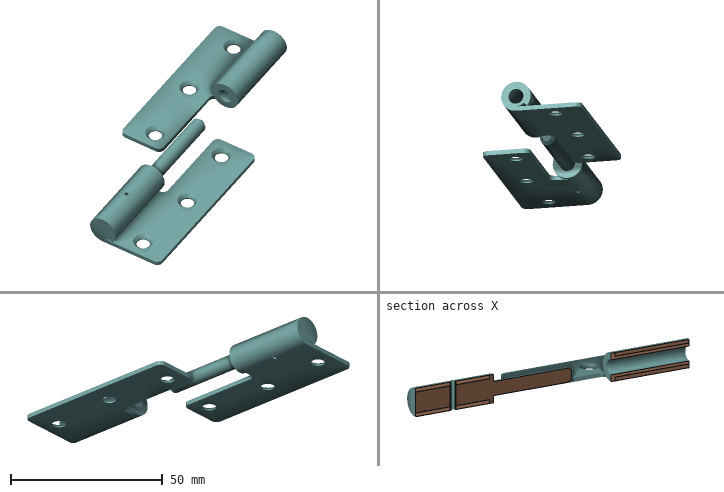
import cadquery as cq
import math

overall_length = 105.0
overall_width = 44.0
leaf_length = 60.0
knuckle_length = 30.0
knuckle_diameter = 10.0
sheet_thickness = 1.5
curl_end_angle = 43.0

notch_edge_x = 6.0
corner_radius = 2.0
notch_fillet = 2.0

screw_hole_diameter = 4.5
screw_head_diameter = 6.7
countersink_angle = 90.0
end_hole_x = 12.0
middle_hole_x = 14.0
end_hole_margin = 6.0

collar_thickness = 1.4
pin_diameter = 5.0
pin_tip_chamfer = 1.0

spring_pin_diameter = 2.2
spring_pin_bore = 1.4
spring_pin_margin = 14.5

knuckle_radius = knuckle_diameter / 2
core_radius = knuckle_radius - sheet_thickness
leaf_edge_x = overall_width / 2
outer_y = -overall_length / 2
inner_y = outer_y + leaf_length
collar_end_y = outer_y + knuckle_length
shoulder_y = collar_end_y - collar_thickness
wrap_length = shoulder_y - outer_y
sheet_bottom_z = -knuckle_radius
sheet_top_z = sheet_bottom_z + sheet_thickness
spring_pin_y = outer_y + spring_pin_margin


def cylinder_along_y(radius, start_y, end_y):
    """Cylinder on the hinge axis between two Y positions."""
    return cq.Workplane("XZ", origin=(0, start_y, 0)).circle(radius).extrude(start_y - end_y)


def cylinder_along_z(diameter):
    """Cylinder across the knuckle at the spring pin position."""
    base = cq.Workplane("XY", origin=(0, spring_pin_y, sheet_bottom_z))
    return base.circle(diameter / 2).extrude(knuckle_diameter)


def make_plate():
    """Flat sheet with a notch beside the pin and rounded corners."""
    plate = (
        cq.Workplane("XY", origin=(0, 0, sheet_bottom_z))
        .moveTo(0, outer_y)
        .lineTo(leaf_edge_x, outer_y)
        .lineTo(leaf_edge_x, inner_y)
        .lineTo(notch_edge_x, inner_y)
        .lineTo(notch_edge_x, shoulder_y)
        .lineTo(0, shoulder_y)
        .close()
        .extrude(sheet_thickness)
    )
    plate = plate.edges("|Z and >X").fillet(corner_radius)
    plate = plate.edges("|Z and >Y").edges("<X").fillet(corner_radius)
    corner_point = (notch_edge_x, shoulder_y, sheet_bottom_z + sheet_thickness / 2)
    notch_corner = cq.NearestToPointSelector(corner_point)
    return plate.edges("|Z").edges(notch_corner).fillet(notch_fillet)


def make_curl():
    """Sheet wrapped from the bottom of the axis round to its free edge."""
    end_angle = math.radians(-curl_end_angle)
    middle_angle = math.radians(135)

    def on_circle(radius, angle):
        return radius * math.cos(angle), radius * math.sin(angle)

    return (
        cq.Workplane("XZ", origin=(0, outer_y, 0))
        .moveTo(0, sheet_bottom_z)
        .threePointArc(on_circle(knuckle_radius, middle_angle), on_circle(knuckle_radius, end_angle))
        .lineTo(*on_circle(core_radius, end_angle))
        .threePointArc(on_circle(core_radius, middle_angle), (0, sheet_top_z))
        .close()
        .extrude(-wrap_length)
    )


def make_leaf():
    """Leaf with its wrapped knuckle and three countersunk screw holes."""
    screw_holes = [
        (end_hole_x, outer_y + end_hole_margin),
        (middle_hole_x, outer_y + leaf_length / 2),
        (end_hole_x, inner_y - end_hole_margin),
    ]
    return (
        make_plate()
        .union(make_curl())
        .copyWorkplane(cq.Workplane("XY", origin=(0, 0, sheet_top_z)))
        .pushPoints(screw_holes)
        .cskHole(screw_hole_diameter, screw_head_diameter, countersink_angle)
    )


def make_core():
    """Solid core filling the knuckle, with a collar against its inner end."""
    core = cylinder_along_y(core_radius, outer_y, shoulder_y)
    return core.union(cylinder_along_y(knuckle_radius, shoulder_y, collar_end_y))


def make_hinge_pin():
    """Collared core with the projecting pin, cross-drilled for the spring pin."""
    pin = cylinder_along_y(pin_diameter / 2, collar_end_y, inner_y)
    pin = pin.faces(">Y").edges().chamfer(pin_tip_chamfer)
    return make_core().union(pin).cut(cylinder_along_z(spring_pin_diameter))


def make_bushing():
    """Collared core bored through to receive the pin."""
    return make_core().cut(cylinder_along_y(pin_diameter / 2, outer_y, collar_end_y))


def make_spring_pin():
    """Hollow pin that locks the hinge pin in its knuckle."""
    return cylinder_along_z(spring_pin_diameter).cut(cylinder_along_z(spring_pin_bore))


def turn_about_z(body):
    """Half turn that carries a right-hand body to the left-hand half."""
    return body.rotate((0, 0, 0), (0, 0, 1), 180)


leaves = [make_leaf().cut(cylinder_along_z(spring_pin_diameter)), turn_about_z(make_leaf())]
hinge_pin = make_hinge_pin()
bushing = turn_about_z(make_bushing())
spring_pin = make_spring_pin()

bodies = [*leaves, hinge_pin, bushing, spring_pin]
result = cq.Compound.makeCompound([body.solids().val() for body in bodies])